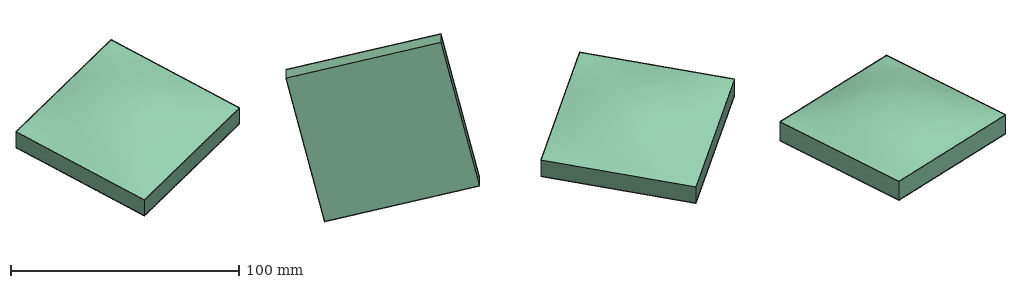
import cadquery as cq

side = 70.0
total_height = 16.6
wall_height = 10.0
dome_rise = total_height - wall_height
half = side / 2
grid_steps = 10


def dome_point(column, row):
    """Point on the dome: a parabola along X times a parabola along Y, level along all four edges."""
    u = 2 * column / grid_steps - 1
    v = 2 * row / grid_steps - 1
    return cq.Vector(half * u, half * v, wall_height + dome_rise * (1 - u**2) * (1 - v**2))


grid = [
    [dome_point(column, row) for row in range(grid_steps + 1)]
    for column in range(grid_steps + 1)
]
dome = cq.Face.makeSplineApprox(grid, tol=1e-4, minDeg=2, maxDeg=3)

block = cq.Workplane("XY").box(side, side, wall_height, centered=(True, True, False))
block_faces = block.faces("not >Z").vals()

shell = cq.Shell.makeShell([*block_faces, dome])
result = cq.Workplane("XY").newObject([cq.Solid.makeSolid(shell)])